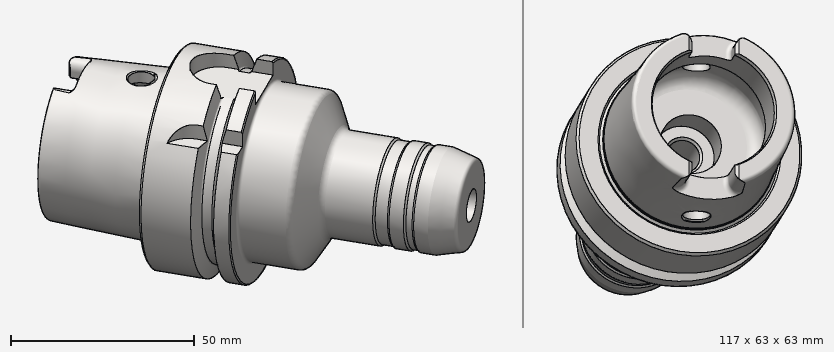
import cadquery as cq
import math

LENGTH = 117.0
TAPER_END = 30.0
FLANGE_FRONT = 31.8
GRIP_STATIONS = (46.7, 48.2, 51.7, 53.2)
FLANGE_BACK = 57.9
CONE_START = 73.0
TIP_START = 109.3

MOUTH_RADIUS = 22.7
TAPER_RADIUS = 48.1 / 2
MOUTH_ROUND = 1.2
BORE_RADIUS = 34.0 / 2
BORE_LEAD = 0.5
BORE_LEAD_LENGTH = 1.0
BORE_LAND_END = 12.6
CAVITY_START = 15.5
CAVITY_RADIUS = 40.0 / 2
CAVITY_FLOOR = 30.1
CAVITY_ROUND = 4.3

NECK_START = 30.9
NECK_RADIUS = 24.2
RECESS_DEPTH = 0.6
RECESS_BOTTOM_RADIUS = 50.0 / 2
RECESS_OUTER_RADIUS = 25.5

FLANGE_RADIUS = 63.0 / 2
FLANGE_FRONT_CHAMFER = 0.7
FLANGE_BACK_CHAMFER = 0.4
GRIP_RADIUS = 27.1
GRIP_ROUND = 0.5

BODY_RADIUS = 50.0 / 2
BODY_ROOT_ROUND = 0.8
NOSE_RADIUS = 30.0 / 2
SHOULDER_ANGLE = 60
SHOULDER_ROUND = 2.0
TIP_ANGLE = 15
TIP_ROUND = 1.2
RING_RADIUS = 29.0 / 2
RING_GROOVES = ((93.5, 98.2), (102.3, 105.2))
RING_SLOPE = 0.6

PASSAGE_RADIUS = 9.2 / 2
PASSAGE_MOUTH_RADIUS = 10.6 / 2
SOCKET_RADIUS = 17.0 / 2
SOCKET_DEPTH = 9.4

UPPER_NOTCH_DEPTH = 6.2
LOWER_NOTCH_DEPTH = 9.8
NOTCH_HALF_WIDTH = 6.0
NOTCH_LIP_Z = 21.0
NOTCH_LIP_ROUND = 2.9
NOTCH_CORNER = 1.4
NOTCH_LEAD = 1.0
NOTCH_LEAD_LENGTH = 0.7

RADIAL_HOLE_X = 22.8
RADIAL_HOLE_RADIUS = 7.5 / 2
RADIAL_HOLE_MOUTH = 8.7 / 2

CUTTER_RADIUS = 8.0
CUTTER_STOP_X = 44.9
SLOT_FLOOR = 26.2
INDEX_FLOOR = 19.8
INDEX_WALL = 20.0

CLEAR = 11.7


def slope_length(rise, angle):
    """Axial length of a conical face with this radial rise and angle to the axis."""
    return rise / math.tan(math.radians(angle))


def revolve(points):
    """Solid of revolution about X from (x, radius) points."""
    return cq.Workplane("XY").polyline(points).close().revolve(360, (0, 0, 0), (1, 0, 0))


def ring_edge(body, x, radius):
    """The circular edge around the axis at this station and radius."""
    def matches(edge):
        same_place = abs(edge.Center().x - x) < 0.01
        return same_place and edge.geomType() == "CIRCLE" and abs(edge.radius() - radius) < 0.01
    return body.edges().filter(matches)


def outer_body():
    grip_start, grip_floor_start, grip_floor_end, grip_end = GRIP_STATIONS
    cone_end = CONE_START + slope_length(BODY_RADIUS - NOSE_RADIUS, SHOULDER_ANGLE)
    tip_radius = NOSE_RADIUS - (LENGTH - TIP_START) * math.tan(math.radians(TIP_ANGLE))
    points = [
        (0, 0),
        (0, MOUTH_RADIUS),
        (TAPER_END, TAPER_RADIUS),
        (NECK_START, TAPER_RADIUS),
        (NECK_START + NECK_RADIUS - TAPER_RADIUS, NECK_RADIUS),
        (FLANGE_FRONT, NECK_RADIUS),
        (FLANGE_FRONT + RECESS_DEPTH, RECESS_BOTTOM_RADIUS),
        (FLANGE_FRONT, RECESS_OUTER_RADIUS),
        (FLANGE_FRONT, FLANGE_RADIUS - FLANGE_FRONT_CHAMFER),
        (FLANGE_FRONT + FLANGE_FRONT_CHAMFER, FLANGE_RADIUS),
        (grip_start, FLANGE_RADIUS),
        (grip_floor_start, GRIP_RADIUS),
        (grip_floor_end, GRIP_RADIUS),
        (grip_end, FLANGE_RADIUS),
        (FLANGE_BACK - FLANGE_BACK_CHAMFER, FLANGE_RADIUS),
        (FLANGE_BACK, FLANGE_RADIUS - FLANGE_BACK_CHAMFER),
        (FLANGE_BACK, BODY_RADIUS),
        (CONE_START, BODY_RADIUS),
        (cone_end, NOSE_RADIUS),
    ]
    for start, end in RING_GROOVES:
        points += [
            (start, NOSE_RADIUS),
            (start + RING_SLOPE, RING_RADIUS),
            (end - RING_SLOPE, RING_RADIUS),
            (end, NOSE_RADIUS),
        ]
    points += [(TIP_START, NOSE_RADIUS), (LENGTH, tip_radius), (LENGTH, 0)]

    body = revolve(points)
    rounds = (
        (0, MOUTH_RADIUS, MOUTH_ROUND),
        (grip_floor_start, GRIP_RADIUS, GRIP_ROUND),
        (grip_floor_end, GRIP_RADIUS, GRIP_ROUND),
        (FLANGE_BACK, BODY_RADIUS, BODY_ROOT_ROUND),
        (CONE_START, BODY_RADIUS, SHOULDER_ROUND),
        (cone_end, NOSE_RADIUS, SHOULDER_ROUND),
        (LENGTH, tip_radius, TIP_ROUND),
    )
    for x, radius, size in rounds:
        body = ring_edge(body, x, radius).fillet(size)
    return body


def cavity():
    """Stepped hollow of the taper and the passage through the whole part."""
    chamber = revolve([
        (0, 0),
        (0, BORE_RADIUS + BORE_LEAD),
        (BORE_LEAD_LENGTH, BORE_RADIUS),
        (BORE_LAND_END, BORE_RADIUS),
        (CAVITY_START, CAVITY_RADIUS),
        (CAVITY_FLOOR, CAVITY_RADIUS),
        (CAVITY_FLOOR, 0),
    ])
    chamber = ring_edge(chamber, CAVITY_FLOOR, CAVITY_RADIUS).fillet(CAVITY_ROUND)

    socket_floor = CAVITY_FLOOR + SOCKET_DEPTH
    countersink = PASSAGE_MOUTH_RADIUS - PASSAGE_RADIUS
    passage = revolve([
        (CAVITY_FLOOR, 0),
        (CAVITY_FLOOR, SOCKET_RADIUS),
        (socket_floor, SOCKET_RADIUS),
        (socket_floor, PASSAGE_MOUTH_RADIUS),
        (socket_floor + countersink, PASSAGE_RADIUS),
        (LENGTH, PASSAGE_RADIUS),
        (LENGTH, 0),
    ])
    return chamber.union(passage)


def drive_notch(depth):
    """Cutter for the upper drive notch: straight walls with rounded lips and a rounded end."""
    lip_y = NOTCH_HALF_WIDTH + NOTCH_LIP_ROUND
    wall_top = NOTCH_LIP_Z - NOTCH_LIP_ROUND
    arc_offset = NOTCH_LIP_ROUND * (1 - math.sqrt(0.5))
    arc_y = NOTCH_HALF_WIDTH + arc_offset
    arc_z = NOTCH_LIP_Z - arc_offset
    top = MOUTH_RADIUS + CLEAR
    side = lip_y + CLEAR
    notch = (
        cq.Workplane("YZ")
        .moveTo(-NOTCH_HALF_WIDTH, 0)
        .lineTo(NOTCH_HALF_WIDTH, 0)
        .lineTo(NOTCH_HALF_WIDTH, wall_top)
        .threePointArc((arc_y, arc_z), (lip_y, NOTCH_LIP_Z))
        .lineTo(side, NOTCH_LIP_Z)
        .lineTo(side, top)
        .lineTo(-side, top)
        .lineTo(-side, NOTCH_LIP_Z)
        .lineTo(-lip_y, NOTCH_LIP_Z)
        .threePointArc((-arc_y, arc_z), (-NOTCH_HALF_WIDTH, wall_top))
        .close()
        .extrude(depth)
        .faces(">X").edges().fillet(NOTCH_CORNER)
    )
    lead = (
        cq.Workplane("XY")
        .polyline([
            (0, -NOTCH_HALF_WIDTH - NOTCH_LEAD),
            (NOTCH_LEAD_LENGTH, -NOTCH_HALF_WIDTH),
            (NOTCH_LEAD_LENGTH, NOTCH_HALF_WIDTH),
            (0, NOTCH_HALF_WIDTH + NOTCH_LEAD),
        ])
        .close()
        .extrude(top)
    )
    return notch.union(lead)


def radial_hole():
    """Cutter for the two opposite holes through the taper wall, countersunk outside."""
    slope = (TAPER_RADIUS - MOUTH_RADIUS) / TAPER_END
    surface = MOUTH_RADIUS + RADIAL_HOLE_X * slope
    sink_depth = RADIAL_HOLE_MOUTH - RADIAL_HOLE_RADIUS
    hole = (
        cq.Workplane("XY")
        .center(RADIAL_HOLE_X, 0)
        .circle(RADIAL_HOLE_RADIUS)
        .extrude(TAPER_RADIUS + CLEAR, both=True)
    )
    sink = (
        cq.Workplane("XY", origin=(RADIAL_HOLE_X, 0, surface - sink_depth))
        .circle(RADIAL_HOLE_RADIUS)
        .workplane(offset=sink_depth)
        .circle(RADIAL_HOLE_MOUTH)
        .loft()
    )
    return hole.union(sink).union(sink.mirror("XY"))


def round_ended_slot(center_y, floor_z):
    """Cutter for a slot that ends in a half circle and runs out of the flange's back face."""
    run = FLANGE_BACK - CUTTER_STOP_X
    plane = cq.Workplane("XY", origin=(CUTTER_STOP_X, center_y, floor_z))
    straight = plane.center(run / 2, 0).rect(run, 2 * CUTTER_RADIUS).extrude(FLANGE_RADIUS)
    return plane.circle(CUTTER_RADIUS).extrude(FLANGE_RADIUS).union(straight)


slot = round_ended_slot(0, SLOT_FLOOR)
index_notch = round_ended_slot(-INDEX_WALL - CUTTER_RADIUS, INDEX_FLOOR)

result = (
    outer_body()
    .cut(cavity())
    .cut(drive_notch(UPPER_NOTCH_DEPTH))
    .cut(drive_notch(LOWER_NOTCH_DEPTH).mirror("XY"))
    .cut(radial_hole())
    .cut(slot)
    .cut(slot.mirror("XY"))
    .cut(index_notch)
)